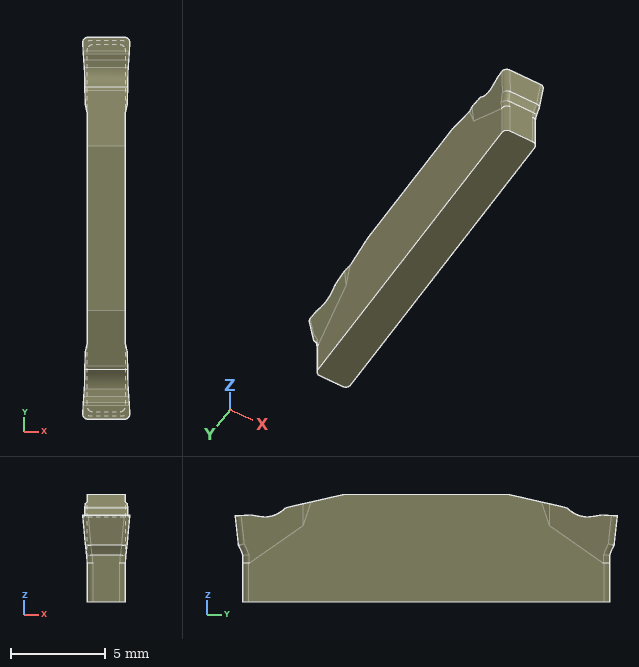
import cadquery as cq

length = 20.15
height = 5.68
head_width = 2.5
body_width = 2.02
corner_radius = 0.3

tip_z = 4.55
land_in = 0.73
land_end_in = 0.89
land_z = 4.6
ramp_middle_in = 1.2
ramp_middle_z = 4.53
groove_start_in = 1.6
groove_start_z = 4.5
groove_middle_in = 2.14
groove_middle_z = 4.61
groove_end_in = 2.64
groove_end_z = 4.95
slope_start_in = 2.82
slope_start_z = 5.02
plateau_in = 5.75

relief_in = 0.171
relief_z = 3.0
blend_middle_in = 0.3
blend_middle_z = 2.75
body_end_in = 0.4
blend_end_z = 2.48

head_bottom_z = 2.05
flank_inward_slope = 0.06
flank_downward_slope = 0.086
runout_in = 3.59
runout_slope = 0.26
head_length = 4.43

tip_y = length / 2
cutter_size = 2 * length
select_margin = 0.02


def end_point(inward, z):
    """Point in the YZ plane of the +Y end."""
    return tip_y - inward, z


def make_half_blank():
    """The +Y half of the lengthwise outline, wider than the finished heads."""
    return (
        cq.Workplane("YZ")
        .moveTo(0, 0)
        .lineTo(*end_point(body_end_in, 0))
        .lineTo(*end_point(body_end_in, blend_end_z))
        .threePointArc(end_point(blend_middle_in, blend_middle_z), end_point(relief_in, relief_z))
        .lineTo(*end_point(0, tip_z))
        .lineTo(*end_point(land_in, land_z))
        .lineTo(*end_point(land_end_in, land_z))
        .lineTo(*end_point(ramp_middle_in, ramp_middle_z))
        .lineTo(*end_point(groove_start_in, groove_start_z))
        .threePointArc(
            end_point(groove_middle_in, groove_middle_z),
            end_point(groove_end_in, groove_end_z),
        )
        .lineTo(*end_point(slope_start_in, slope_start_z))
        .lineTo(*end_point(plateau_in, height))
        .lineTo(0, height)
        .close()
        .extrude(head_width, both=True)
    )


def flank_cutter(side, half_width, inward, inward_slope):
    """Block outside a flank plane that has the given half width at tip height."""
    plane = cq.Plane(
        origin=(side * half_width, tip_y - inward, tip_z),
        xDir=(0, flank_downward_slope, -inward_slope),
        normal=(side, -inward_slope, -flank_downward_slope),
    )
    return cq.Workplane(plane).rect(cutter_size, cutter_size).extrude(cutter_size)


def make_head(half_blank):
    """Tapered +Y head with rounded corners at its tip."""
    envelope = cq.Workplane("XY").box(
        2 * head_width, head_length, height, centered=(True, False, False)
    ).translate((0, tip_y - head_length, head_bottom_z))
    head = half_blank.intersect(envelope)
    runout_half_width = head_width / 2 - flank_inward_slope * (runout_in - corner_radius)
    for side in (-1, 1):
        head = head.cut(flank_cutter(side, head_width / 2, corner_radius, flank_inward_slope))
        head = head.cut(flank_cutter(side, runout_half_width, runout_in, runout_slope))
    tip_corners = cq.selectors.BoxSelector(
        (-head_width, tip_y - body_end_in - select_margin, head_bottom_z),
        (head_width, tip_y + select_margin, tip_z - select_margin),
    )
    return head.edges(tip_corners).edges("not |X").fillet(corner_radius)


def make_body(half_blank):
    """Narrow +Y half body with rounded vertical end corners."""
    half_length = tip_y - body_end_in
    envelope = (
        cq.Workplane("XY")
        .box(body_width, half_length, height, centered=(True, False, False))
        .edges("|Z and >Y")
        .fillet(corner_radius)
    )
    return half_blank.intersect(envelope)


half_blank = make_half_blank()
half_part = make_body(half_blank).union(make_head(half_blank))
result = half_part.union(half_part.mirror("XZ")).clean()